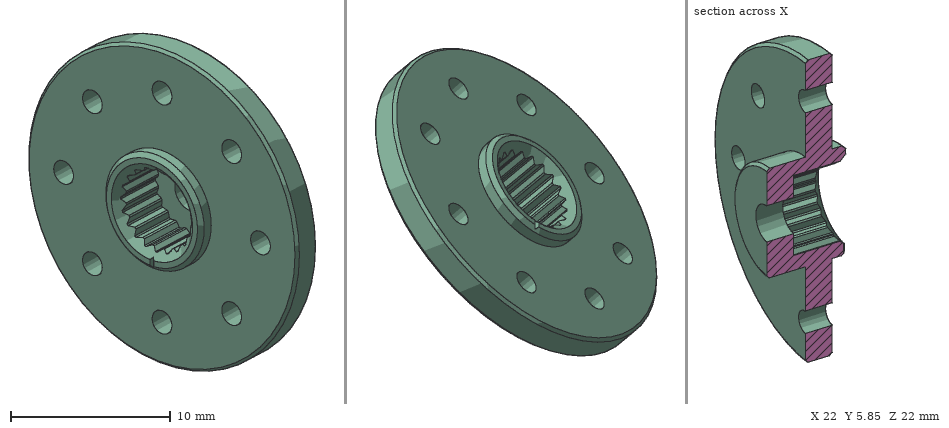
import cadquery as cq
import math

FLANGE_DIAMETER = 22.0
FLANGE_THICKNESS = 2.0
EDGE_CHAMFER = 0.2

HUB_DIAMETER = 8.0
HUB_FRONT_LENGTH = 1.0
HUB_BACK_LENGTH = 2.85
HUB_FRONT_CHAMFER = 0.3

BOLT_CIRCLE_RADIUS = 8.0
BOLT_HOLE_DIAMETER = 1.6
BOLT_HOLE_COUNT = 8
CENTRE_HOLE_DIAMETER = 2.6

SPLINE_TEETH = 20
SPLINE_ROOT_RADIUS = 2.88
SPLINE_TIP_RADIUS = 2.65
ROOT_FLAT_ANGLE = 2.5
TIP_FLAT_ANGLE = 3.0
SOCKET_DEPTH = 3.85
LEAD_IN_RADIUS = 3.3
LEAD_IN_ANGLE = 45.0

MARK_WIDTH = 0.3
MARK_DEPTH = 0.17

HUB_FRONT_Y = -HUB_FRONT_LENGTH
HUB_BACK_Y = FLANGE_THICKNESS + HUB_BACK_LENGTH
HUB_LENGTH = HUB_BACK_Y - HUB_FRONT_Y


def section_plane(y):
    """Plane across the axis at the given y, extruding toward +Y."""
    return cq.Workplane(cq.Plane(origin=(0, y, 0), xDir=(1, 0, 0), normal=(0, 1, 0)))


def make_flange():
    disc = section_plane(0).circle(FLANGE_DIAMETER / 2).extrude(FLANGE_THICKNESS)
    return disc.edges().chamfer(EDGE_CHAMFER)


def make_hub():
    hub = section_plane(HUB_FRONT_Y).circle(HUB_DIAMETER / 2).extrude(HUB_LENGTH)
    hub = hub.faces("<Y").edges().chamfer(HUB_FRONT_CHAMFER)
    return hub.faces(">Y").edges().chamfer(EDGE_CHAMFER)


def polar_point(radius, angle):
    return (radius * math.cos(math.radians(angle)), radius * math.sin(math.radians(angle)))


def make_spline_socket():
    """Socket with narrow flats on the tooth tips and roots; a root lies on +Z."""
    pitch = 360 / SPLINE_TEETH
    outline = []
    for tooth in range(SPLINE_TEETH):
        root_angle = 90 + tooth * pitch
        tip_angle = root_angle + pitch / 2
        outline.append(polar_point(SPLINE_ROOT_RADIUS, root_angle - ROOT_FLAT_ANGLE / 2))
        outline.append(polar_point(SPLINE_ROOT_RADIUS, root_angle + ROOT_FLAT_ANGLE / 2))
        outline.append(polar_point(SPLINE_TIP_RADIUS, tip_angle - TIP_FLAT_ANGLE / 2))
        outline.append(polar_point(SPLINE_TIP_RADIUS, tip_angle + TIP_FLAT_ANGLE / 2))
    return section_plane(HUB_FRONT_Y).polyline(outline).close().extrude(SOCKET_DEPTH)


def make_lead_in():
    """Cone that widens the socket mouth and bevels the front ends of the teeth."""
    length = (LEAD_IN_RADIUS - SPLINE_TIP_RADIUS) / math.tan(math.radians(LEAD_IN_ANGLE))
    profile = [
        (0, HUB_FRONT_Y),
        (LEAD_IN_RADIUS, HUB_FRONT_Y),
        (SPLINE_TIP_RADIUS, HUB_FRONT_Y + length),
        (0, HUB_FRONT_Y + length),
    ]
    return cq.Workplane("XY").polyline(profile).close().revolve(360, (0, 0), (0, 1))


def make_index_mark():
    """V groove running radially across the rim on the -Z side."""
    profile = [
        (-MARK_WIDTH / 2, HUB_FRONT_Y),
        (MARK_WIDTH / 2, HUB_FRONT_Y),
        (0, HUB_FRONT_Y + MARK_DEPTH),
    ]
    return cq.Workplane("XY").polyline(profile).close().extrude(-HUB_DIAMETER / 2)


def make_bolt_holes():
    holes = section_plane(0).polarArray(BOLT_CIRCLE_RADIUS, 0, 360, BOLT_HOLE_COUNT)
    return holes.circle(BOLT_HOLE_DIAMETER / 2).extrude(FLANGE_THICKNESS)


def make_centre_hole():
    return section_plane(HUB_FRONT_Y).circle(CENTRE_HOLE_DIAMETER / 2).extrude(HUB_LENGTH)


result = (
    make_flange()
    .union(make_hub())
    .cut(make_spline_socket())
    .cut(make_lead_in())
    .cut(make_index_mark())
    .cut(make_bolt_holes())
    .cut(make_centre_hole())
)